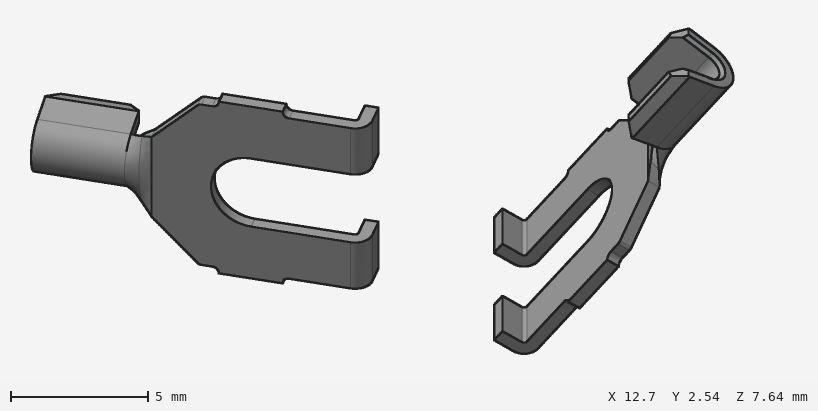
import cadquery as cq
import math

length = 12.7
height = 2.54
half_width = 3.82
sheet = 0.52

barrel_length = 3.53
barrel_radius = 1.15
leg_flare = math.radians(14.0)
leg_bevel_start = 1.97
leg_tip_y = 2.48
leg_tip_z = 1.26
leg_corner = 0.52
mouth_chamfer = 0.15

rib_x = 4.08
rib_half = 1.46
rib_top_half = 1.33
rib_top = 0.69
rib_side_low = 0.4
rib_side_high = 0.76

plate_start = 4.56
plate_start_half = 1.78
arm_half = 3.57
shoulder_x = plate_start + arm_half - plate_start_half
shoulder_round = 0.19
lug_start = 7.09
lug_end = 9.5
lug_fillet = 0.24
slot_half = 1.51
slot_bottom = 6.8

tip_height = 1.52
bend_inner = 0.13
bend_outer = bend_inner + sheet
bend_start = length - bend_outer


def mirrored(point):
    """The (Y, Z) point reflected across the plane Z = 0."""
    return (point[0], -point[1])


def tangent_point(radius):
    """(Y, Z) where a barrel arc of this radius runs into its straight leg."""
    return (barrel_radius - radius * math.sin(leg_flare), radius * math.cos(leg_flare))


def leg_point(y, radius):
    """(Y, Z) on the leg face that is tangent to the barrel arc of this radius."""
    return (y, radius / math.cos(leg_flare) + (y - barrel_radius) * math.tan(leg_flare))


def barrel_wire(x, wall):
    """U-shaped outline of the barrel at the given X and wall thickness."""
    inner_radius = barrel_radius - wall
    outer_tangent = tangent_point(barrel_radius)
    inner_tangent = tangent_point(inner_radius)
    bevel = leg_point(leg_bevel_start, barrel_radius)
    tip_outer = (leg_tip_y, leg_tip_z)
    tip_inner = leg_point(height, inner_radius)
    return (
        cq.Workplane("YZ", origin=(x, 0, 0))
        .moveTo(*mirrored(outer_tangent))
        .threePointArc((0, 0), outer_tangent)
        .lineTo(*bevel)
        .lineTo(*tip_outer)
        .lineTo(*tip_inner)
        .lineTo(*inner_tangent)
        .threePointArc((wall, 0), mirrored(inner_tangent))
        .lineTo(*mirrored(tip_inner))
        .lineTo(*mirrored(tip_outer))
        .lineTo(*mirrored(bevel))
        .close()
    )


def ruled_loft(first, second):
    return cq.Workplane(cq.Solid.makeLoft([first.val(), second.val()], ruled=True))


def make_barrel():
    tube = barrel_wire(mouth_chamfer, sheet).extrude(barrel_length - mouth_chamfer)
    mouth = ruled_loft(
        barrel_wire(0, sheet - mouth_chamfer),
        barrel_wire(mouth_chamfer, sheet),
    )
    side_profile = (
        cq.Workplane("XY")
        .rect(barrel_length, height, centered=False)
        .extrude(half_width, both=True)
        .edges(">Y and |Z")
        .chamfer(leg_corner)
    )
    return tube.union(mouth).intersect(side_profile)


def neck_wire(x, low_corner, high_corner, top_middle):
    """Neck outline at X: curved underside through Y = 0, curved top, straight sides."""
    return (
        cq.Workplane("YZ", origin=(x, 0, 0))
        .moveTo(*mirrored(low_corner))
        .threePointArc((0, 0), low_corner)
        .lineTo(*high_corner)
        .threePointArc((top_middle, 0), mirrored(high_corner))
        .close()
    )


def make_neck():
    at_barrel = neck_wire(
        barrel_length,
        tangent_point(barrel_radius),
        tangent_point(barrel_radius - sheet),
        sheet,
    )
    at_rib = neck_wire(
        rib_x,
        (rib_side_low, rib_half),
        (rib_side_high, rib_top_half),
        rib_top,
    )
    at_plate = cq.Workplane("YZ", origin=(plate_start, 0, 0)).polyline([
        (0, -plate_start_half),
        (0, plate_start_half),
        (sheet, plate_start_half),
        (sheet, -plate_start_half),
    ]).close()
    return ruled_loft(at_barrel, at_rib).union(ruled_loft(at_rib, at_plate))


def edges_along_y(body, x, half_z):
    """Edges through the sheet thickness at the given X and at Z = +-half_z."""
    reach = 0.01
    box = cq.selectors.BoxSelector(
        (x - reach, -reach, -half_z - reach),
        (x + reach, sheet + reach, half_z + reach),
    )
    return body.edges("|Y").edges(box)


def make_plate():
    """Flat fork up to the tip bends, with side lugs and an open round-ended slot."""
    body = (
        cq.Workplane("XZ")
        .polyline([
            (plate_start, -plate_start_half),
            (shoulder_x, -arm_half),
            (bend_start, -arm_half),
            (bend_start, arm_half),
            (shoulder_x, arm_half),
            (plate_start, plate_start_half),
        ])
        .close()
        .extrude(-sheet)
    )
    body = edges_along_y(body, shoulder_x, arm_half).fillet(shoulder_round)

    lugs = (
        cq.Workplane("XZ")
        .center((lug_start + lug_end) / 2, 0)
        .rect(lug_end - lug_start, 2 * half_width)
        .extrude(-sheet)
    )
    body = body.union(lugs)
    for lug_side in (lug_start, lug_end):
        body = edges_along_y(body, lug_side, arm_half).fillet(lug_fillet)

    slot_centre = slot_bottom + slot_half
    slot = (
        cq.Workplane("XZ")
        .moveTo(length, -slot_half)
        .lineTo(slot_centre, -slot_half)
        .threePointArc((slot_bottom, 0), (slot_centre, slot_half))
        .lineTo(length, slot_half)
        .close()
        .extrude(-sheet)
    )
    return body.cut(slot)


def make_tip(z_low):
    """One bent-up fork tip, occupying the arm width above z_low."""
    return (
        cq.Workplane("XY", origin=(0, 0, z_low))
        .moveTo(bend_start, 0)
        .radiusArc((length, bend_outer), -bend_outer)
        .lineTo(length, tip_height)
        .lineTo(length - sheet, tip_height)
        .lineTo(length - sheet, bend_outer)
        .radiusArc((bend_start, sheet), bend_inner)
        .close()
        .extrude(arm_half - slot_half)
    )


result = make_barrel().union(make_neck()).union(make_plate())
for tip_low in (slot_half, -arm_half):
    result = result.union(make_tip(tip_low))